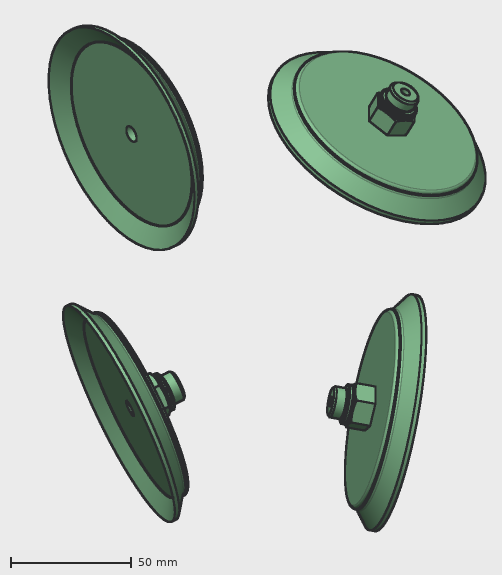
import cadquery as cq
import math


mouth_diameter = 100.0
rim_height = 2.1
lip_back_y = 7.8
lip_back_diameter = 85.6
waist_diameter = 84.6
recess_depth = 5.2
recess_floor_diameter = 83.0

plate_diameter = 85.0
plate_back_y = 11.0
band_start_y = 9.0
back_diameter = 84.6
back_round = 1.4
band_end_y = plate_back_y - back_round
plate_face_diameter = 82.4
plate_face_step = 0.2

hex_flats = 17.0
hex_end_y = 19.6
hex_chamfer_height = 0.5

shoulder_end_y = 20.1
collar_start_y = 20.6
collar_end_y = 21.8
collar_tip_end_y = 22.2
collar_diameter = 16.8
collar_tip_diameter = 15.6
groove_diameter = 16.4
neck_diameter = 12.5
stud_start_y = 22.8
stud_end_y = 28.0
stud_diameter = 13.2
stud_chamfer = 0.9

bore_diameter = 4.0
counterbore_diameter = 7.0
counterbore_depth = 8.0


def cylinder(diameter, start_y, end_y):
    """Solid cylinder on the Y axis between two Y positions."""
    plane = cq.Workplane("XZ", origin=(0, start_y, 0))
    return plane.circle(diameter / 2).extrude(start_y - end_y)


def make_cup():
    """Flared lip and rounded backing plate, with a conical recess in the mouth."""
    back_radius = back_diameter / 2
    round_offset = back_round * math.sqrt(0.5)
    round_mid = (
        back_radius - back_round + round_offset,
        band_end_y + round_offset,
    )
    profile = (
        cq.Workplane("XY")
        .moveTo(0, recess_depth)
        .lineTo(plate_face_diameter / 2, recess_depth)
        .lineTo(plate_face_diameter / 2, recess_depth + plate_face_step)
        .lineTo(recess_floor_diameter / 2, recess_depth + plate_face_step)
        .lineTo(recess_floor_diameter / 2, recess_depth)
        .lineTo(mouth_diameter / 2, 0)
        .lineTo(mouth_diameter / 2, rim_height)
        .lineTo(lip_back_diameter / 2, lip_back_y)
        .tangentArcPoint((waist_diameter / 2, band_start_y), relative=False)
        .lineTo(plate_diameter / 2, band_start_y)
        .lineTo(plate_diameter / 2, band_end_y)
        .lineTo(back_radius, band_end_y)
        .threePointArc(round_mid, (back_radius - back_round, plate_back_y))
        .lineTo(0, plate_back_y)
        .close()
    )
    return profile.revolve(360, (0, 0, 0), (0, 1, 0))


def make_hex_body():
    """Hexagon with two flats facing X and its outer corners chamfered."""
    hex_corners = hex_flats / math.cos(math.pi / 6)
    hexagon = (
        cq.Workplane("XZ", origin=(0, plate_back_y, 0))
        .transformed(rotate=(0, 0, 90))
        .polygon(6, hex_corners)
        .extrude(plate_back_y - hex_end_y)
    )
    chamfer_cone = (
        cylinder(hex_corners, plate_back_y, hex_end_y)
        .faces(">Y")
        .chamfer(hex_chamfer_height, (hex_corners - hex_flats) / 2)
    )
    return hexagon.intersect(chamfer_cone)


def make_stud():
    """Round shoulder, groove, stepped collar, undercut neck and chamfered stud."""
    shoulder = cylinder(hex_flats, hex_end_y, shoulder_end_y)
    groove = cylinder(groove_diameter, shoulder_end_y, collar_start_y)
    collar = cylinder(collar_diameter, collar_start_y, collar_end_y)
    collar_tip = cylinder(collar_tip_diameter, collar_end_y, collar_tip_end_y)
    neck = cylinder(neck_diameter, collar_tip_end_y, stud_start_y)
    stud = cylinder(stud_diameter, stud_start_y, stud_end_y).faces(">Y").chamfer(stud_chamfer)
    return shoulder.union(groove).union(collar).union(collar_tip).union(neck).union(stud)


def make_passage():
    """Through bore with a counterbore opening at the recess floor."""
    bore = cylinder(bore_diameter, 0, stud_end_y)
    counterbore = cylinder(counterbore_diameter, 0, recess_depth + counterbore_depth)
    return bore.union(counterbore)


result = make_cup().union(make_hex_body()).union(make_stud()).cut(make_passage())